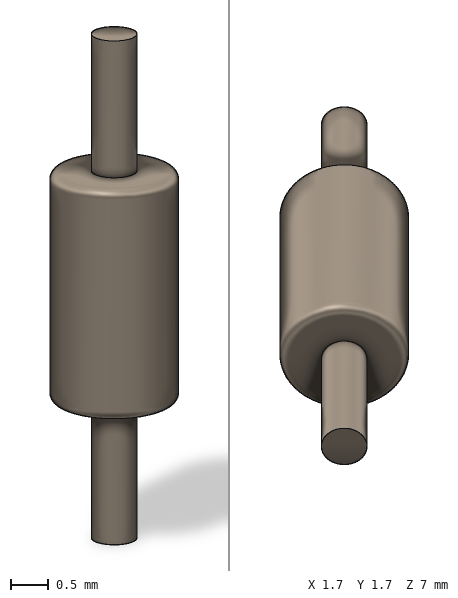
import cadquery as cq

total_length = 7.0
body_length = 3.2
body_diameter = 1.7
lead_diameter = 0.6
edge_radius = 0.125

body = (
    cq.Workplane("XY")
    .cylinder(body_length, body_diameter / 2)
    .faces("<Z or >Z")
    .edges()
    .fillet(edge_radius)
)

lead = cq.Workplane("XY").cylinder(total_length, lead_diameter / 2)

result = body.union(lead)